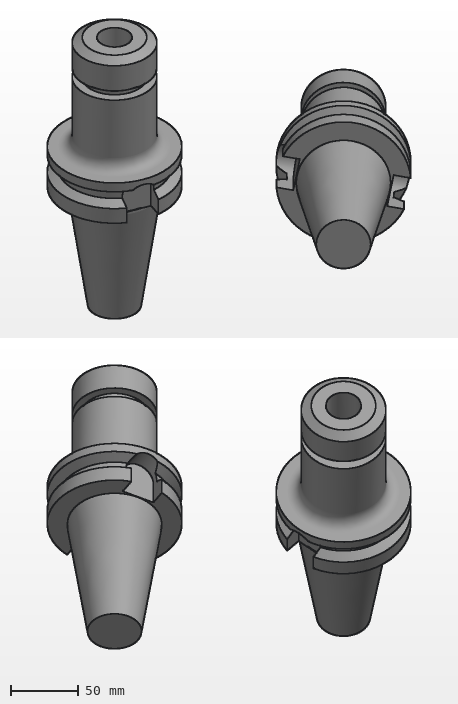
import cadquery as cq

total_height = 236.8
taper_height = 101.8
flange_bottom = 104.7
lower_rim_top = 117.7
groove_bottom = 121.7
groove_top = 128.5
upper_rim_bottom = 132.5
flange_top = 140.5
body_top = 201.8
collar_bottom = 205.8
nut_bottom = 210.0
nut_chamfer_bottom = 232.3

taper_large_radius = 34.93
taper_ratio = 7 / 24
taper_small_radius = taper_large_radius - taper_height * taper_ratio / 2
flange_radius = 50.0
groove_radius = 42.5
body_radius = 31.5
body_fillet = 10.0
neck_radius = 24.2
collar_radius = 25.3
nut_top_radius = 24.0

bore_radius = 13.0
bore_depth = 47.4

slot_width = 26.0
slot_top = 136.0
slot_floor = 35.4


def turned_holder():
    """Revolve the half outline about the Z axis."""
    fillet_top = flange_top + body_fillet
    fillet_outer_radius = body_radius + body_fillet
    diagonal = body_fillet * 0.5 ** 0.5
    fillet_middle = (fillet_outer_radius - diagonal, fillet_top - diagonal)
    outline = (
        cq.Workplane("XZ")
        .lineTo(taper_small_radius, 0)
        .lineTo(taper_large_radius, taper_height)
        .lineTo(taper_large_radius, flange_bottom)
        .lineTo(flange_radius, flange_bottom)
        .lineTo(flange_radius, lower_rim_top)
        .lineTo(groove_radius, groove_bottom)
        .lineTo(groove_radius, groove_top)
        .lineTo(flange_radius, upper_rim_bottom)
        .lineTo(flange_radius, flange_top)
        .lineTo(fillet_outer_radius, flange_top)
        .threePointArc(fillet_middle, (body_radius, fillet_top))
        .lineTo(body_radius, body_top)
        .lineTo(neck_radius, body_top)
        .lineTo(neck_radius, collar_bottom)
        .lineTo(collar_radius, collar_bottom)
        .lineTo(collar_radius, nut_bottom)
        .lineTo(body_radius, nut_bottom)
        .lineTo(body_radius, nut_chamfer_bottom)
        .lineTo(nut_top_radius, total_height)
        .lineTo(0, total_height)
        .close()
    )
    return outline.revolve(360, (0, 0, 0), (0, 1, 0))


def nose_bore():
    return (
        cq.Workplane("XY", origin=(0, 0, total_height))
        .circle(bore_radius)
        .extrude(-bore_depth)
    )


def drive_slot(side):
    """Round-topped slot cutter on the +X (side=1) or -X (side=-1) flank."""
    half_width = slot_width / 2
    arc_center = slot_top - half_width
    return (
        cq.Workplane("YZ", origin=(side * slot_floor, 0, 0))
        .moveTo(-half_width, flange_bottom)
        .lineTo(half_width, flange_bottom)
        .lineTo(half_width, arc_center)
        .threePointArc((0, slot_top), (-half_width, arc_center))
        .close()
        .extrude(side * flange_radius)
    )


result = turned_holder().cut(nose_bore())
for side in (-1, 1):
    result = result.cut(drive_slot(side))